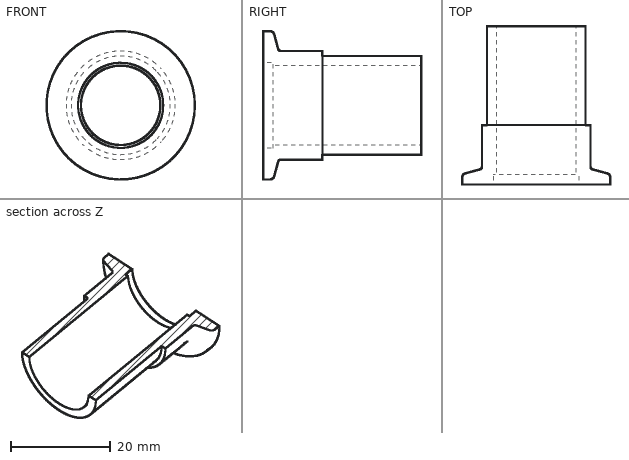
import cadquery as cq
import math

total_length = 32.0
tube_length = 20.0
tube_radius = 20.0 / 2
collar_radius = 22.0 / 2
flange_radius = 30.0 / 2
bore_radius = 16.0 / 2
recess_radius = 17.2 / 2
recess_depth = 2.0
rim_thickness = 1.35
rim_fillet = 1.0
neck_fillet = 0.5
taper_angle = math.radians(15)

collar_end = total_length - tube_length

normal_x = math.sin(taper_angle)
normal_y = math.cos(taper_angle)
rim_center_x = flange_radius - rim_fillet
taper_start_x = rim_center_x + rim_fillet * normal_x
taper_start_y = rim_thickness + rim_fillet * normal_y
half_angle = (math.pi / 2 - taper_angle) / 2
rim_mid_x = rim_center_x + rim_fillet * math.cos(half_angle)
rim_mid_y = rim_thickness + rim_fillet * math.sin(half_angle)

neck_center_x = collar_radius + neck_fillet
taper_end_x = neck_center_x - neck_fillet * normal_x
taper_end_y = taper_start_y + (taper_start_x - taper_end_x) * math.tan(taper_angle)
neck_center_y = taper_end_y + neck_fillet * normal_y
neck_mid_x = neck_center_x - neck_fillet * math.cos(half_angle)
neck_mid_y = neck_center_y - neck_fillet * math.sin(half_angle)

section = (
    cq.Workplane("XY")
    .moveTo(recess_radius, 0)
    .lineTo(flange_radius, 0)
    .lineTo(flange_radius, rim_thickness)
    .threePointArc((rim_mid_x, rim_mid_y), (taper_start_x, taper_start_y))
    .lineTo(taper_end_x, taper_end_y)
    .threePointArc((neck_mid_x, neck_mid_y), (collar_radius, neck_center_y))
    .lineTo(collar_radius, collar_end)
    .lineTo(tube_radius, collar_end)
    .lineTo(tube_radius, total_length)
    .lineTo(bore_radius, total_length)
    .lineTo(bore_radius, recess_depth)
    .lineTo(recess_radius, recess_depth)
    .close()
)

result = section.revolve(360, (0, 0, 0), (0, 1, 0))